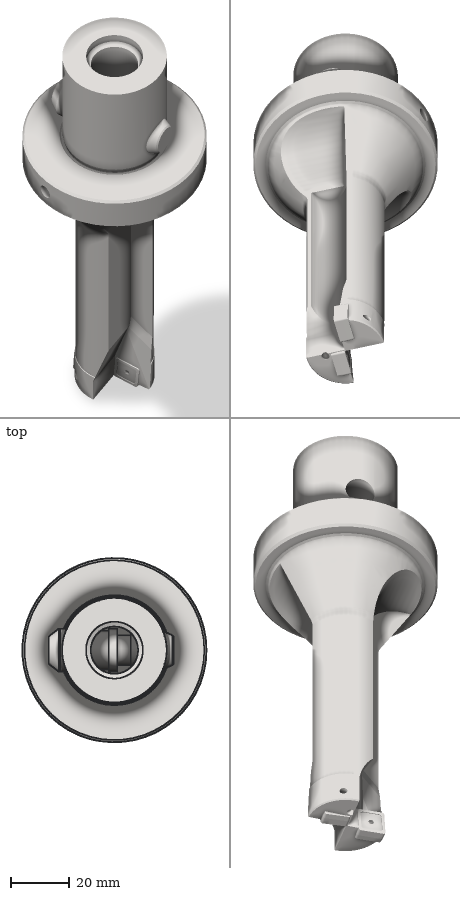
import cadquery as cq
import math

total_length = 163.99
end_face_z = 1.3

reach = 40.0
overrun = 1.0

shank_radius = 18.0
shank_relief_z = 125.7
relief_radius = 17.6
relief_groove_radius = 18.95
relief_groove_depth = 0.5
flange_radius = 31.75
flange_top_z = 124.2
flange_bottom_z = 111.1
flange_chamfer = 0.8

cone_half_angle = math.radians(30)
shaft_radius = 13.5
cone_base_z = 87.7
cone_blend_radius = 5.0
cone_top_chamfer = 0.5
head_radius = 13.8
head_top_z = 13.1
head_chamfer = 0.4

bore_radius = 8.15
bore_bottom_z = 120.0
counterbore_radius = 9.8
counterbore_depth = 3.2
counterbore_taper = 1.0

side_hole_radius = 5.2
side_hole_z = 139.6
flange_hole_radius = 2.45
flange_hole_depth = 3.0
flange_hole_point = 1.2
flange_hole_z = 117.6
flange_hole_x = -9.4
coolant_hole_radius = 1.35
coolant_hole_x = 0.2
coolant_hole_y = 7.2
coolant_hole_depth = 3.0
coolant_hole_tilt = 25

flute_straight_top_z = 90.1
flute_runout_radius = 19.5
front_wall_x = 5.3
front_tip_wall_x = -0.3
front_slant_bottom_z = 10.5
front_slant_top_z = 28.6
front_slant_sag = 0.05
back_wall_x = 6.35
back_tip_wall_x = 0.8
back_slant_bottom_z = 12.0
back_slant_top_z = 23.6
back_slant_sag = 1.0
flat_offset = 1.08
flat_slope = 0.2
front_tip_flat = 0.6
back_tip_flat = -0.1
ramp_top = 26.7
ramp_knee = 23.3
ramp_knee_offset = 3.2
ramp_slope = 0.3
trough_radius = 7.2
trough_depth = 4.2
trough_end_drop = 3.1
trough_centre_offset = 4.15
trough_top_z = 92.4
trough_bottom_z = 10.0

insert_side = 9.6
insert_thickness = 4.9
insert_straight_depth = 2.8
insert_corner = 0.8
insert_taper = 5
central_insert_turn = -5
outer_insert_turn = 3
rake_rise = 0.4
breaker_side = 7.6
breaker_corner = 1.0
breaker_depth = 0.3
screw_head_radius = 2.5
screw_head_height = 1.4
screw_radius = 1.25
screw_length = 8.0
screw_socket_across = 1.8
screw_socket_depth = 0.8
central_insert_x, central_insert_z = 4.65, 5.13
outer_insert_x, outer_insert_z = -9.25, 5.15

pin_z = 133.2
pin_end_radius = 5.15
pin_end_chamfer = 0.5
pin_outer_x = -22.6
pin_head_radius = 7.4
pin_cone_x = -19.2
pin_shoulder_x = -9.0
pin_body_radius = 6.75
pin_collar_x = -2.0
meeting_x = 0.9
bolt_neck_radius = 5.2
bolt_neck_x = 5.7
bolt_body_radius = 5.5
bolt_head_x = 15.0
bolt_head_radius = 6.5
bolt_cone_x = 17.2
bolt_outer_x = 20.4
seal_width = 0.6
seal_depth = 0.6


def along_x(profile):
    """Turn a closed (x, radius) profile about the cross-pin axis."""
    turned = cq.Workplane("XZ").polyline(profile).close().revolve(360, (0, 0, 0), (1, 0, 0))
    return turned.translate((0, 0, pin_z))


def x_cylinder(x_from, x_to, radius):
    return along_x([(x_from, 0), (x_from, radius), (x_to, radius), (x_to, 0)])


def rounded_square(side, corner_radius, turn):
    return cq.Sketch().rect(side, side, angle=turn).vertices().fillet(corner_radius)


def insert_blank(turn):
    """Solid square with its rake face on the XZ plane, facing -Y, and tapered toward its seat."""
    outline = rounded_square(insert_side, insert_corner, turn)
    straight_part = cq.Workplane("XZ").placeSketch(outline).extrude(-insert_straight_depth)
    tapered_part = (
        cq.Workplane("XZ", origin=(0, insert_straight_depth, 0))
        .placeSketch(outline)
        .extrude(insert_straight_depth - insert_thickness, taper=insert_taper)
    )
    return straight_part.union(tapered_part)


def insert_screw_blank():
    """Countersunk screw without its socket, head below the breaker floor."""
    profile = [
        (0, breaker_depth),
        (screw_head_radius, breaker_depth),
        (screw_radius, breaker_depth + screw_head_height),
        (screw_radius, breaker_depth + screw_length),
        (0, breaker_depth + screw_length),
    ]
    return cq.Workplane("XY").polyline(profile).close().revolve(360, (0, 0, 0), (0, 1, 0))


def make_insert(turn):
    floor = rounded_square(breaker_side, breaker_corner, turn)
    breaker = cq.Workplane("XZ").placeSketch(floor).extrude(-breaker_depth)
    return insert_blank(turn).cut(breaker).cut(insert_screw_blank())


def make_insert_screw():
    socket = (
        cq.Workplane("XZ", origin=(0, breaker_depth, 0))
        .polygon(6, screw_socket_across / math.cos(math.pi / 6))
        .extrude(-screw_socket_depth)
    )
    return insert_screw_blank().cut(socket)


def screw_hole():
    """Through hole that carries the screw out to the surface of the head."""
    return cq.Workplane("XZ").circle(screw_radius).extrude(-reach)


def place_central(tool):
    return tool.translate((central_insert_x, front_tip_flat - rake_rise, central_insert_z))


def place_outer(tool):
    """The outer insert faces the other way, toward +Y."""
    turned = tool.rotate((0, 0, 0), (0, 0, 1), 180)
    return turned.translate((outer_insert_x, rake_rise - back_tip_flat, outer_insert_z))


insert_seats = [(place_central, central_insert_turn), (place_outer, outer_insert_turn)]


def turned_body():
    cone_top_radius = shaft_radius + (flange_bottom_z - cone_base_z) * math.tan(cone_half_angle)
    blend_length = cone_blend_radius * math.tan(cone_half_angle / 2)
    blend_end = (
        shaft_radius + blend_length * math.sin(cone_half_angle),
        cone_base_z + blend_length * math.cos(cone_half_angle),
    )
    chamfer_start = (
        cone_top_radius - cone_top_chamfer * math.tan(cone_half_angle),
        flange_bottom_z - cone_top_chamfer,
    )
    return (
        cq.Workplane("XZ")
        .moveTo(0, end_face_z)
        .lineTo(head_radius - head_chamfer, end_face_z)
        .lineTo(head_radius, end_face_z + head_chamfer)
        .lineTo(head_radius, head_top_z)
        .lineTo(shaft_radius, head_top_z)
        .lineTo(shaft_radius, cone_base_z - blend_length)
        .tangentArcPoint(blend_end, relative=False)
        .lineTo(*chamfer_start)
        .lineTo(cone_top_radius + cone_top_chamfer, flange_bottom_z)
        .lineTo(flange_radius - flange_chamfer, flange_bottom_z)
        .lineTo(flange_radius, flange_bottom_z + flange_chamfer)
        .lineTo(flange_radius, flange_top_z - flange_chamfer)
        .lineTo(flange_radius - flange_chamfer, flange_top_z)
        .lineTo(relief_groove_radius, flange_top_z)
        .lineTo(relief_groove_radius - relief_groove_depth, flange_top_z - relief_groove_depth)
        .lineTo(relief_radius, flange_top_z - relief_groove_depth)
        .lineTo(relief_radius, flange_top_z)
        .lineTo(shank_radius, shank_relief_z)
        .lineTo(shank_radius, total_length)
        .lineTo(0, total_length)
        .close()
        .revolve(360, (0, 0, 0), (0, 1, 0))
    )


def coupling_bore():
    step_z = total_length - counterbore_depth
    profile = [
        (0, bore_bottom_z),
        (bore_radius, bore_bottom_z),
        (bore_radius, step_z - counterbore_taper),
        (counterbore_radius, step_z),
        (counterbore_radius, total_length),
        (0, total_length),
    ]
    return cq.Workplane("XZ").polyline(profile).close().revolve(360, (0, 0, 0), (0, 1, 0))


def flange_hole():
    """Blind radial hole with a drill point."""
    bottom = flange_radius - flange_hole_depth
    profile = [
        (reach, 0),
        (reach, flange_hole_radius),
        (bottom, flange_hole_radius),
        (bottom - flange_hole_point, 0),
    ]
    hole = cq.Workplane("XY").polyline(profile).close().revolve(360, (0, 0, 0), (1, 0, 0))
    angle = -math.degrees(math.acos(flange_hole_x / flange_radius))
    return hole.rotate((0, 0, 0), (0, 0, 1), angle).translate((0, 0, flange_hole_z))


def side_hole():
    return cq.Workplane("XZ", origin=(0, 0, side_hole_z)).circle(side_hole_radius).extrude(-reach)


def coolant_hole():
    hole = cq.Workplane("XY").circle(coolant_hole_radius).extrude(2 * coolant_hole_depth)
    hole = hole.translate((0, 0, -coolant_hole_depth)).rotate((0, 0, 0), (0, 1, 0), coolant_hole_tilt)
    return hole.translate((coolant_hole_x, coolant_hole_y, end_face_z))


def flute(wall_x, tip_wall_x, tip_flat, slant_bottom_z, slant_top_z, slant_sag):
    """Flute cutter open toward +X and -Y, bounded by a wall (facing +X) and a flat (facing -Y)."""
    slant_middle = ((wall_x + tip_wall_x) / 2 - slant_sag, (slant_bottom_z + slant_top_z) / 2)
    runout_x = wall_x + flute_runout_radius
    runout_z = flute_straight_top_z + flute_runout_radius
    wall_side = (
        cq.Workplane("XZ", origin=(0, reach, 0))
        .moveTo(tip_wall_x, -overrun)
        .lineTo(tip_wall_x, slant_bottom_z)
        .threePointArc(slant_middle, (wall_x, slant_top_z))
        .lineTo(wall_x, flute_straight_top_z)
        .tangentArcPoint((runout_x, runout_z), relative=False)
        .lineTo(reach, runout_z)
        .lineTo(reach, -overrun)
        .close()
        .extrude(2 * reach)
    )

    flat_side = (
        cq.Workplane("XY", origin=(0, 0, -overrun))
        .polyline([
            (-reach, -reach),
            (reach, -reach),
            (reach, flat_offset + flat_slope * reach),
            (-reach, flat_offset - flat_slope * reach),
        ])
        .close()
        .extrude(total_length)
    )
    foreshortening = math.sqrt(1 + flat_slope ** 2 / 2)
    ramp_top_offset = flat_offset + flat_slope * ramp_top / math.sqrt(2)
    ramp_foot_offset = ramp_knee_offset - ramp_slope * (ramp_knee + reach)
    ramp_side = (
        cq.Workplane(cq.Plane(origin=(0, 0, 0), xDir=(1, 0, 1), normal=(1, flat_slope, -1)))
        .polyline([
            (-reach, -ramp_foot_offset / foreshortening),
            (ramp_knee, -ramp_knee_offset / foreshortening),
            (ramp_top, -ramp_top_offset / foreshortening),
            (ramp_top, -total_length),
            (total_length, -total_length),
            (total_length, total_length),
            (-reach, total_length),
        ])
        .close()
        .extrude(total_length, both=True)
    )
    tip_side = (
        cq.Workplane("XZ", origin=(0, tip_flat, 0))
        .rect(2 * reach, 2 * total_length)
        .extrude(2 * reach)
    )
    ramp_side = ramp_side.union(tip_side)
    return wall_side.intersect(flat_side).intersect(ramp_side)


def chip_trough(wall_x):
    """Round-bottomed groove sunk in the flute wall, with a sloped upper end."""
    bottom_x = wall_x - trough_depth
    round_bottom = (
        cq.Workplane("XY", origin=(bottom_x + trough_radius, -trough_centre_offset, 0))
        .circle(trough_radius)
        .extrude(total_length)
    )
    side_outline = (
        cq.Workplane("XZ", origin=(0, reach, 0))
        .polyline([
            (bottom_x, trough_bottom_z),
            (wall_x, trough_bottom_z),
            (wall_x, trough_top_z),
            (bottom_x, trough_top_z - trough_end_drop),
        ])
        .close()
        .extrude(2 * reach)
    )
    return round_bottom.intersect(side_outline)


def half_turn(tool):
    """Carry a cutter from the +X, -Y flute to the -X, +Y flute."""
    return tool.rotate((0, 0, 0), (0, 0, 1), 180)


def make_drill_body(fitted_parts):
    body = turned_body()
    for void in [coupling_bore(), flange_hole(), side_hole(), coolant_hole()]:
        body = body.cut(void)

    front_flute = flute(front_wall_x, front_tip_wall_x, front_tip_flat,
                        front_slant_bottom_z, front_slant_top_z, front_slant_sag)
    back_flute = flute(back_wall_x, back_tip_wall_x, back_tip_flat,
                       back_slant_bottom_z, back_slant_top_z, back_slant_sag)
    body = body.cut(front_flute).cut(half_turn(back_flute))
    body = body.cut(half_turn(chip_trough(back_wall_x)))

    for place, turn in insert_seats:
        body = body.cut(place(insert_blank(turn))).cut(place(screw_hole()))

    for void in fitted_parts:
        body = body.cut(void)
    return body


def seal_space(x_from, outer_radius):
    """Ring-shaped space whose outer face is flush with the head it sits in."""
    x_to = x_from + seal_width
    return x_cylinder(x_from, x_to, outer_radius).cut(x_cylinder(x_from, x_to, outer_radius - seal_depth))


def make_pin():
    profile = [
        (pin_outer_x, 0),
        (pin_outer_x, pin_end_radius - pin_end_chamfer),
        (pin_outer_x + pin_end_chamfer, pin_end_radius),
        (pin_cone_x, pin_head_radius),
        (pin_shoulder_x, pin_head_radius),
        (pin_shoulder_x, pin_body_radius),
        (pin_collar_x, pin_body_radius),
        (pin_collar_x, pin_head_radius),
        (meeting_x, pin_head_radius),
        (meeting_x, 0),
    ]
    return along_x(profile).cut(pin_seal)


def make_bolt():
    profile = [
        (meeting_x, 0),
        (meeting_x, bolt_neck_radius),
        (bolt_neck_x, bolt_neck_radius),
        (bolt_neck_x, bolt_body_radius),
        (bolt_head_x, bolt_body_radius),
        (bolt_head_x, bolt_head_radius),
        (bolt_cone_x, bolt_head_radius),
        (bolt_outer_x - pin_end_chamfer, pin_end_radius),
        (bolt_outer_x, pin_end_radius - pin_end_chamfer),
        (bolt_outer_x, 0),
    ]
    return along_x(profile).cut(bolt_seal)


pin_seal = seal_space(pin_cone_x, pin_head_radius)
bolt_seal = seal_space(bolt_cone_x - seal_width, bolt_head_radius)
pin = make_pin()
bolt = make_bolt()

pin_hole = x_cylinder(-reach, 0, pin_head_radius)
bolt_hole = x_cylinder(0, bolt_head_x, bolt_body_radius)
bolt_counterbore = x_cylinder(bolt_head_x, reach, bolt_head_radius)
drill_body = make_drill_body([pin_hole, bolt_hole, bolt_counterbore])

inserts = [place(make_insert(turn)) for place, turn in insert_seats]
insert_screws = [place(make_insert_screw()) for place, turn in insert_seats]

result = cq.Compound.makeCompound([
    drill_body.val(),
    *[insert.val() for insert in inserts],
    *[screw.val() for screw in insert_screws],
    pin.val(),
    bolt.val(),
    pin_seal.val(),
    bolt_seal.val(),
])